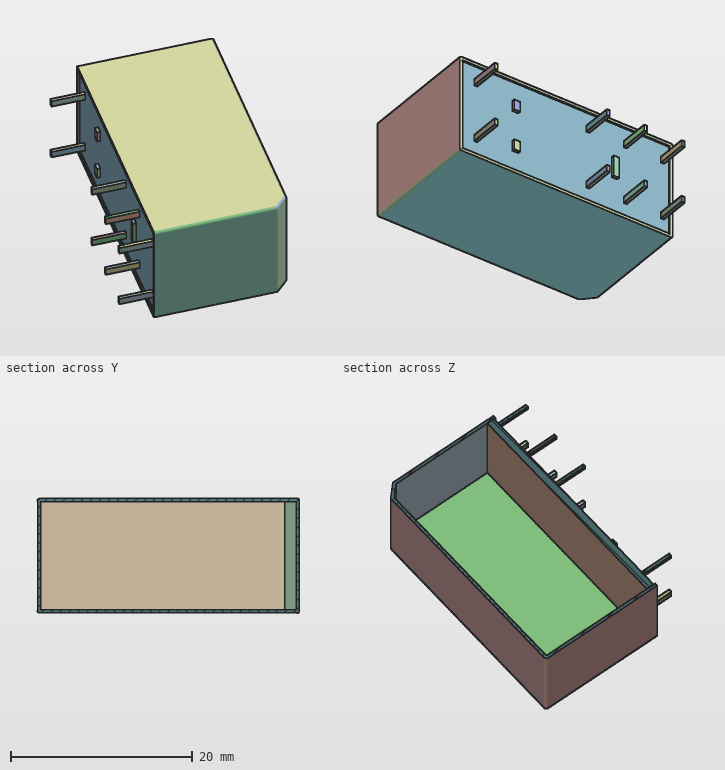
import cadquery as cq
import math

LENGTH = 29.0
HEIGHT = 12.7
OVERALL_DEPTH = 19.5
COVER_DEPTH = 15.78
WALL = 0.4
CORNER_CHAMFER = 1.5
EDGE_RADIUS = 0.3

BASE_RECESS = 0.2
BASE_THICKNESS = 1.0

PAD_PROUD = 0.17
SIDE_PAD_WIDTH = 0.8
SIDE_PAD_HEIGHT = 1.33
SIDE_PAD_X = -6.8
SIDE_PAD_Z = 2.7
CENTER_PAD_WIDTH = 0.72
CENTER_PAD_HEIGHT = 2.73
CENTER_PAD_X = 6.7

PIN_WIDTH = 0.4
PIN_HEIGHT = 0.8
PIN_PITCH = 5.08
FIRST_PIN_X = -12.15
PIN_STEPS = (0, 3, 4, 5)
PIN_ROW_Z = 3.77
PIN_REACH = OVERALL_DEPTH - COVER_DEPTH


def box_between(width, height, y_front, y_back, x=0.0, z=0.0):
    """Box centered on (x, z), running from y_front to y_back."""
    depth = y_back - y_front
    return cq.Workplane("XY").box(width, depth, height).translate((x, y_front + depth / 2, z))


def chamfered_block(width, height, depth, chamfer):
    """Block behind Y = 0 with its upright +X +Y corner cut off."""
    block = box_between(width, height, 0, depth)
    return block.edges("|Z and >X and >Y").chamfer(chamfer)


def make_cover():
    outside = chamfered_block(LENGTH, HEIGHT, COVER_DEPTH, CORNER_CHAMFER)
    mouth_edges = outside.faces("<Y").edges().vals()
    rounded_edges = [
        edge for edge in outside.edges().vals()
        if not any(edge.isSame(mouth_edge) for mouth_edge in mouth_edges)
    ]
    outside = outside.newObject(rounded_edges).fillet(EDGE_RADIUS)

    inner_chamfer = CORNER_CHAMFER - WALL * (2 - math.sqrt(2))
    cavity = chamfered_block(
        LENGTH - 2 * WALL, HEIGHT - 2 * WALL, COVER_DEPTH - WALL, inner_chamfer
    )
    return outside.cut(cavity)


def make_pad(width, height, x, z):
    return box_between(width, height, -PAD_PROUD, BASE_RECESS, x, z)


def make_base():
    base = box_between(
        LENGTH - 2 * WALL, HEIGHT - 2 * WALL, BASE_RECESS, BASE_RECESS + BASE_THICKNESS
    )
    for z in (-SIDE_PAD_Z, SIDE_PAD_Z):
        base = base.union(make_pad(SIDE_PAD_WIDTH, SIDE_PAD_HEIGHT, SIDE_PAD_X, z))
    return base.union(make_pad(CENTER_PAD_WIDTH, CENTER_PAD_HEIGHT, CENTER_PAD_X, 0))


def make_pin(x, z):
    """Straight flat pin standing on the outer face of the base."""
    return box_between(PIN_WIDTH, PIN_HEIGHT, -PIN_REACH, BASE_RECESS, x, z)


cover = make_cover()
base = make_base()
pins = [
    make_pin(FIRST_PIN_X + step * PIN_PITCH, z)
    for z in (-PIN_ROW_Z, PIN_ROW_Z)
    for step in PIN_STEPS
]

result = cq.Compound.makeCompound([cover.val(), base.val(), *[pin.val() for pin in pins]])